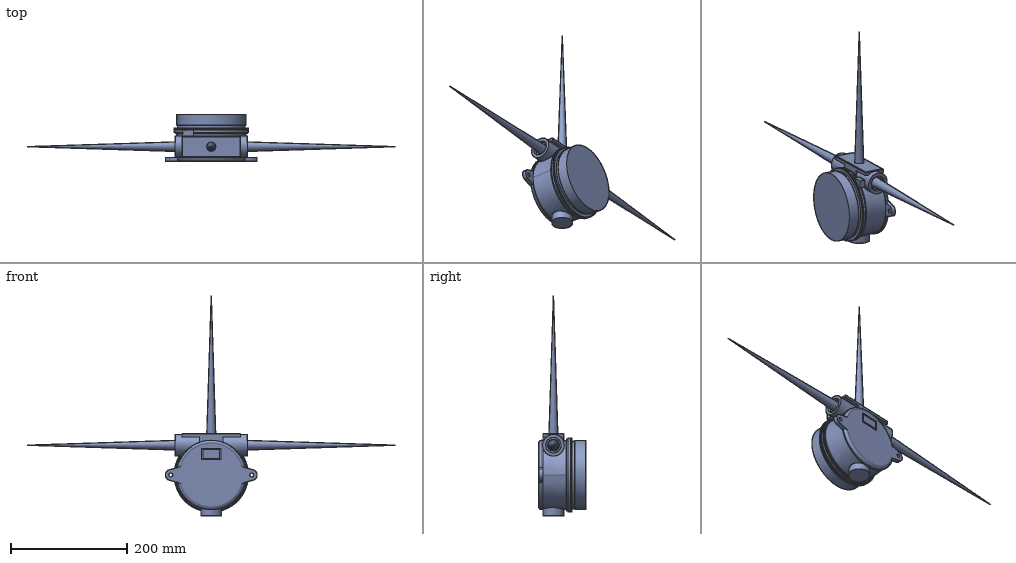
import cadquery as cq
import math

SPAN = 634.0
FRONT_Y = -25.5
BACK_Y = 56.0
BODY_DIAMETER = 120.0
FACE_DIAMETER = 110.0
RIM_RADIUS = (BODY_DIAMETER - FACE_DIAMETER) / 2
BEZEL_BACK_Y = -18.5
BODY_FRONT_DIAMETER = 116.5
BODY_BACK_Y = 21.0
STEP_DIAMETER = 124.0
STEP_FRONT_Y = 23.0
FLANGE_DIAMETER = 128.0
FLANGE_FRONT_Y = 25.0
FLANGE_BACK_Y = 32.5
SEAM_Y = 30.0
SEAM_WIDTH = 1.0
SEAM_DEPTH = 1.0
NECK_DIAMETER = 116.5
COVER_FRONT_Y = 36.0
COVER_CHAMFER = 1.0

LUG_HOLE_X = 70.0
LUG_HOLE_DIAMETER = 6.5
LUG_END_RADIUS = 9.5
LUG_ROOT_X = 51.0
LUG_ROOT_HALF_HEIGHT = 15.0

OUTLET_DIAMETER = 36.0
SIDE_OUTLET_DIAMETER = 37.5
OUTLET_Z = 51.5
OUTLET_LENGTH = 125.0
OUTLET_BOTTOM_Z = -70.5
MOUTH_DIAMETER = 26.5
MOUTH_DEPTH = 6.5
BORE_DIAMETER = 20.0
BORE_DEPTH = 32.0

PAD_LENGTH = 101.5
PAD_THICKNESS = 6.5
PAD_TOP_Z = 71.5
PAD_CHAMFER = 1.0
WEB_WIDTH = 40.0

LOCK_LEFT_X = -49.5
LOCK_RIGHT_X = -30.5
LOCK_BOTTOM_Z = 44.5
LOCK_TOP_Z = 57.0
LOCK_BACK_Y = 28.5

FRAME_LENGTH = 33.0
FRAME_HEIGHT = 19.5
FRAME_Z = 36.0
FRAME_WIDTH = 2.0
FRAME_DEPTH = 0.5

ROD_TOP_Z = 308.5
ROD_TAPER = 0.064
ROD_TIP_DIAMETER = 0.5


def make_shell():
    """Round housing turned about Y: rimmed front, tapered body, flange, neck and cover."""
    body_radius = BODY_DIAMETER / 2
    flange_radius = FLANGE_DIAMETER / 2
    profile = (
        cq.Workplane("XY")
        .moveTo(0, FRONT_Y)
        .lineTo(FACE_DIAMETER / 2, FRONT_Y)
        .radiusArc((body_radius, FRONT_Y + RIM_RADIUS), -RIM_RADIUS)
        .lineTo(body_radius, BEZEL_BACK_Y)
        .lineTo(BODY_FRONT_DIAMETER / 2, BEZEL_BACK_Y)
        .lineTo(body_radius, BODY_BACK_Y)
        .lineTo(body_radius, STEP_FRONT_Y)
        .lineTo(STEP_DIAMETER / 2, STEP_FRONT_Y)
        .lineTo(STEP_DIAMETER / 2, FLANGE_FRONT_Y)
        .lineTo(flange_radius, FLANGE_FRONT_Y)
        .lineTo(flange_radius, SEAM_Y - SEAM_WIDTH / 2)
        .lineTo(flange_radius - SEAM_DEPTH, SEAM_Y - SEAM_WIDTH / 2)
        .lineTo(flange_radius - SEAM_DEPTH, SEAM_Y + SEAM_WIDTH / 2)
        .lineTo(flange_radius, SEAM_Y + SEAM_WIDTH / 2)
        .lineTo(flange_radius, FLANGE_BACK_Y)
        .lineTo(NECK_DIAMETER / 2, FLANGE_BACK_Y)
        .lineTo(NECK_DIAMETER / 2, COVER_FRONT_Y)
        .lineTo(body_radius - COVER_CHAMFER, COVER_FRONT_Y)
        .lineTo(body_radius, COVER_FRONT_Y + COVER_CHAMFER)
        .lineTo(body_radius, BACK_Y)
        .lineTo(0, BACK_Y)
        .close()
    )
    return profile.revolve(360, (0, 0, 0), (0, 1, 0))


def make_lug_plate():
    """Two tapered, round-ended mounting lugs in one plate flush with the front face."""
    rise = LUG_ROOT_HALF_HEIGHT
    reach = LUG_HOLE_X - LUG_ROOT_X
    tangent_angle = math.atan2(rise, -reach) - math.acos(LUG_END_RADIUS / math.hypot(reach, rise))
    touch_x = LUG_HOLE_X + LUG_END_RADIUS * math.cos(tangent_angle)
    touch_z = LUG_END_RADIUS * math.sin(tangent_angle)
    tip_x = LUG_HOLE_X + LUG_END_RADIUS
    return (
        cq.Workplane("XZ", origin=(0, BEZEL_BACK_Y, 0))
        .moveTo(-LUG_ROOT_X, rise)
        .lineTo(LUG_ROOT_X, rise)
        .lineTo(touch_x, touch_z)
        .threePointArc((tip_x, 0), (touch_x, -touch_z))
        .lineTo(LUG_ROOT_X, -rise)
        .lineTo(-LUG_ROOT_X, -rise)
        .lineTo(-touch_x, -touch_z)
        .threePointArc((-tip_x, 0), (-touch_x, touch_z))
        .close()
        .extrude(BEZEL_BACK_Y - FRONT_Y)
    )


def make_top_pad():
    """Flat pad over the side outlets, with the web that joins it to the round body."""
    pad = (
        cq.Workplane("XY", origin=(0, 0, PAD_TOP_Z - PAD_THICKNESS))
        .rect(PAD_LENGTH, OUTLET_DIAMETER)
        .extrude(PAD_THICKNESS)
        .faces(">Z")
        .edges()
        .chamfer(PAD_CHAMFER)
    )
    web = cq.Workplane("XY").rect(WEB_WIDTH, OUTLET_DIAMETER).extrude(PAD_TOP_Z - PAD_CHAMFER)
    return pad.union(web)


def make_lock_block():
    """Small flat-topped block between the pad and the flange."""
    front_y = OUTLET_DIAMETER / 2
    return cq.Workplane("XY").box(
        LOCK_RIGHT_X - LOCK_LEFT_X,
        LOCK_BACK_Y - front_y,
        LOCK_TOP_Z - LOCK_BOTTOM_Z,
        centered=False,
    ).translate((LOCK_LEFT_X, front_y, LOCK_BOTTOM_Z))


def make_label_frame():
    """Shallow rectangular groove around the label on the front face."""
    return (
        cq.Workplane("XZ", origin=(0, FRONT_Y, 0))
        .center(0, FRAME_Z)
        .rect(FRAME_LENGTH, FRAME_HEIGHT)
        .rect(FRAME_LENGTH - 2 * FRAME_WIDTH, FRAME_HEIGHT - 2 * FRAME_WIDTH)
        .extrude(-FRAME_DEPTH)
    )


def make_side_bore(side):
    """Stepped round bore in the side outlet on the -X (-1) or +X (1) side."""
    outlet_end = cq.Workplane("YZ", origin=(side * OUTLET_LENGTH / 2, 0, OUTLET_Z))
    mouth = outlet_end.circle(MOUTH_DIAMETER / 2).extrude(-side * MOUTH_DEPTH)
    bore = outlet_end.circle(BORE_DIAMETER / 2).extrude(-side * BORE_DEPTH)
    return mouth.union(bore)


def make_housing():
    """Housing in one piece, with its pad, lugs, outlets and bores."""
    side_outlets = (
        cq.Workplane("YZ", origin=(-OUTLET_LENGTH / 2, 0, OUTLET_Z))
        .circle(SIDE_OUTLET_DIAMETER / 2)
        .extrude(OUTLET_LENGTH)
    )
    bottom_outlet = (
        cq.Workplane("XY", origin=(0, 0, OUTLET_BOTTOM_Z))
        .circle(OUTLET_DIAMETER / 2)
        .extrude(-OUTLET_BOTTOM_Z)
    )
    housing = make_shell().union(make_lug_plate()).union(side_outlets).union(bottom_outlet)
    housing = housing.union(make_top_pad()).union(make_lock_block())
    for side in (-1, 1):
        lug_hole = (
            cq.Workplane("XZ", origin=(side * LUG_HOLE_X, FRONT_Y, 0))
            .circle(LUG_HOLE_DIAMETER / 2)
            .extrude(FRONT_Y - BEZEL_BACK_Y)
        )
        housing = housing.cut(make_side_bore(side)).cut(lug_hole)
    return housing.cut(make_label_frame())


def make_rod(base, direction, length):
    """Slim tapered rod standing on a flat face of the housing, ending in a fine tip."""
    base_diameter = ROD_TIP_DIAMETER + ROD_TAPER * length
    return cq.Solid.makeCone(base_diameter / 2, ROD_TIP_DIAMETER / 2, length, base, direction)


housing = make_housing()

bore_floor_x = OUTLET_LENGTH / 2 - BORE_DEPTH
rods = [make_rod(cq.Vector(0, 0, PAD_TOP_Z), cq.Vector(0, 0, 1), ROD_TOP_Z - PAD_TOP_Z)]
for side in (-1, 1):
    side_base = cq.Vector(side * bore_floor_x, 0, OUTLET_Z)
    rods.append(make_rod(side_base, cq.Vector(side, 0, 0), SPAN / 2 - bore_floor_x))

result = cq.Compound.makeCompound([housing.val(), *rods])